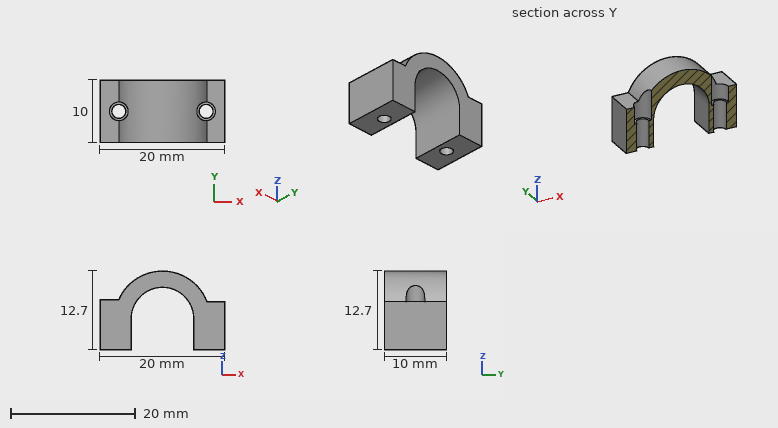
import cadquery as cq

length = 20.0
width = 10.0
bore_radius = 5.0
axis_height = 5.0
crown_radius = 7.65
left_shoulder_height = 8.05
right_shoulder_height = 7.72
screw_spacing = 14.0
screw_diameter = 2.2
head_diameter = 3.0
head_seat_height = 5.0

half_length = length / 2
crown_height = axis_height + crown_radius


def foot(x_start, height):
    """Half-length block starting at x_start and standing on the base."""
    block = cq.Workplane("XY").box(half_length, width, height, centered=(False, True, False))
    return block.translate((x_start, 0, 0))


def cross_cylinder(radius):
    """Cylinder along Y on the saddle axis, spanning the full width."""
    return (
        cq.Workplane("XZ", origin=(0, 0, axis_height))
        .circle(radius)
        .extrude(width / 2, both=True)
    )


def vertical_cylinder(x, diameter, bottom):
    """Cutter rising from the given height to the top of the crown."""
    return (
        cq.Workplane("XY", origin=(x, 0, bottom))
        .circle(diameter / 2)
        .extrude(crown_height - bottom)
    )


body = foot(-half_length, left_shoulder_height).union(foot(0, right_shoulder_height))
body = body.union(cross_cylinder(crown_radius))

channel = cq.Workplane("XY").box(2 * bore_radius, width, axis_height, centered=(True, True, False))
body = body.cut(cross_cylinder(bore_radius)).cut(channel)

envelope = cq.Workplane("XY").box(length, width, crown_height, centered=(True, True, False))
body = body.intersect(envelope)

for x in (-screw_spacing / 2, screw_spacing / 2):
    body = body.cut(vertical_cylinder(x, screw_diameter, 0))
    body = body.cut(vertical_cylinder(x, head_diameter, head_seat_height))

result = body